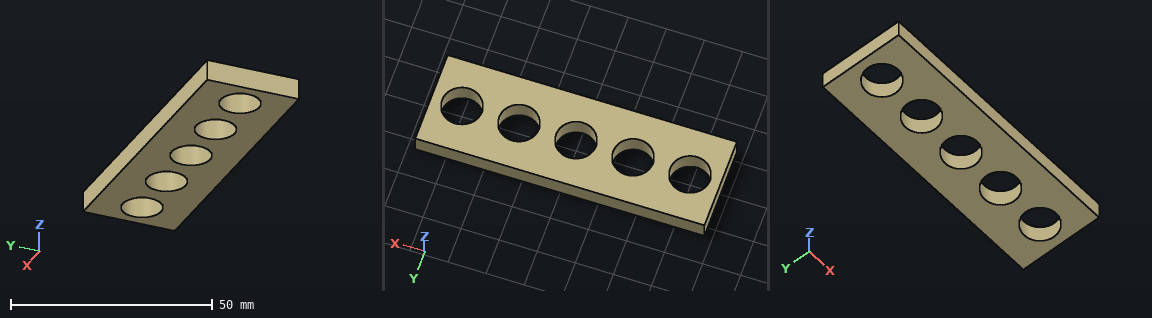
import cadquery as cq

length = 76.0
width = 25.0
thickness = 5.6

hole_count = 5
hole_diameter = 10.4
hole_pitch = 15.0

plate = cq.Workplane("XY").box(length, width, thickness)

result = (
    plate.faces(">Z")
    .workplane()
    .rarray(hole_pitch, 0.75, hole_count, 1)
    .hole(hole_diameter)
)